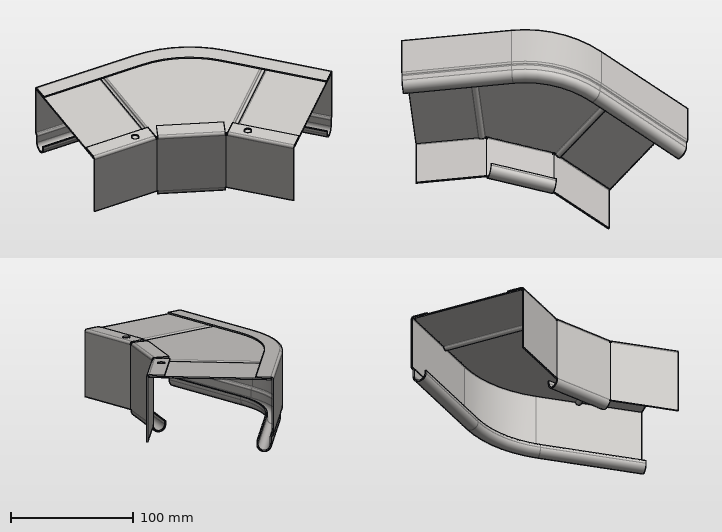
import cadquery as cq
import math


TOTAL_LENGTH = 225.0
HEIGHT = 63.0
ARM_WIDTH = 104.5
ELBOW_ANGLE = 45.0
ELBOW_RADIUS = 100.0

SHEET = 1.2
BEND_RADIUS = 2.3
BEND_MIDDLE_RADIUS = BEND_RADIUS - SHEET / 2
FLANGE_WIDTH = 14.9

BEAD_RADIUS = 6.0
BEAD_LIP = 2.7

STEP_DEPTH = 47.7
STEP_BEND_ANGLE = 60.0

CORNER_Y = 57.9
FLANGE_GAP = 0.7
HOLE_DIAMETER = 6.0
HOLE_INSET = 8.8
HOLE_FROM_CORNER = 15.8

GROOVE_CENTRE_Y = 54.5
GROOVE_BEND_ANGLE = 80.0
GROOVE_SHOULDER_RADIUS = 1.0
GROOVE_VALLEY_RADIUS = 2.0

HALF_ANGLE = math.radians(ELBOW_ANGLE / 2)
ARM_LENGTH = (TOTAL_LENGTH - ELBOW_RADIUS * math.sin(2 * HALF_ANGLE)) / (1 + math.cos(2 * HALF_ANGLE))
ELBOW_CENTRE = (ELBOW_RADIUS, ARM_LENGTH)
AXIS_NORMAL = (math.sin(HALF_ANGLE), math.cos(HALF_ANGLE))
PLATE_TOP = HEIGHT - SHEET


def across_axis(point):
    """The mirror image of a plan point across the axis of symmetry."""
    x, y = point
    distance = (x - ELBOW_CENTRE[0]) * AXIS_NORMAL[0] + (y - ELBOW_CENTRE[1]) * AXIS_NORMAL[1]
    return (x - 2 * distance * AXIS_NORMAL[0], y - 2 * distance * AXIS_NORMAL[1])


def mirrored(body):
    """The mirror image of a body across the axis of symmetry."""
    return body.mirror(cq.Vector(*AXIS_NORMAL, 0), cq.Vector(*ELBOW_CENTRE, 0))


def inner_edge(inset):
    """Plan points along the inner side of the elbow, moved into the part by an inset."""
    end = (ARM_WIDTH - inset, 0)
    corner = (ARM_WIDTH - inset, CORNER_Y + inset * math.tan(HALF_ANGLE / 2))
    return [end, corner, across_axis(corner), across_axis(end)]


def folded_sheet(plane, start, heading, folds):
    """Closed section of a folded sheet, drawn on a plane.

    The sheet's middle line begins at start. Each fold is (size, turn): a straight of that length
    when turn is 0, otherwise an arc of that radius turning left (positive) or right, in degrees.
    """
    x, y = start
    angle = math.radians(heading)
    stations = [(x, y, angle)]
    is_arc = []
    for size, turn in folds:
        half_turn = math.radians(turn) / 2
        half_chord = 2 * size * math.sin(abs(half_turn) / 2) if turn else size / 2
        for _ in range(2):
            x += half_chord * math.cos(angle + half_turn / 2)
            y += half_chord * math.sin(angle + half_turn / 2)
            angle += half_turn
            stations.append((x, y, angle))
        is_arc.append(turn != 0)

    def side(offset):
        return [(px - offset * math.sin(a), py + offset * math.cos(a)) for px, py, a in stations]

    def trace(section, edge, arcs):
        for middle, end, arc in zip(edge[1::2], edge[2::2], arcs):
            section = section.threePointArc(middle, end) if arc else section.lineTo(*end)
        return section

    left = side(SHEET / 2)
    right_reversed = side(-SHEET / 2)[::-1]
    section = trace(cq.Workplane(plane).moveTo(*left[0]), left, is_arc)
    section = trace(section.lineTo(*right_reversed[0]), right_reversed, is_arc[::-1])
    return section.close()


def wall_section(plane, stepped, beaded):
    """Section of a wall: top flange, bend, upright, then an optional step and bead.

    On the plane, x is the distance in from the wall's outer face and y is the height.
    """
    folds = [(FLANGE_WIDTH - BEND_RADIUS, 0), (BEND_MIDDLE_RADIUS, 90)]
    foot = HEIGHT - BEND_RADIUS
    if stepped:
        folds += [(STEP_DEPTH - BEND_RADIUS, 0)]
        folds += [(BEND_MIDDLE_RADIUS, STEP_BEND_ANGLE), (BEND_MIDDLE_RADIUS, -STEP_BEND_ANGLE)]
        foot = HEIGHT - STEP_DEPTH - 2 * BEND_MIDDLE_RADIUS * math.sin(math.radians(STEP_BEND_ANGLE))
    folds += [(foot - BEAD_RADIUS, 0)]
    if beaded:
        folds += [(BEAD_RADIUS - SHEET / 2, 180), (BEAD_LIP, 0)]
    return folded_sheet(plane, (FLANGE_WIDTH, HEIGHT - SHEET / 2), 180, folds)


def make_rail():
    """Outer rail: the same section along both arms and round the elbow."""
    near_end = cq.Plane(origin=(0, 0, 0), xDir=(1, 0, 0), normal=(0, -1, 0))
    elbow_start = cq.Plane(origin=(0, ARM_LENGTH, 0), xDir=(1, 0, 0), normal=(0, -1, 0))
    arm = wall_section(near_end, stepped=True, beaded=True).extrude(-ARM_LENGTH)
    elbow = wall_section(elbow_start, stepped=True, beaded=True).revolve(
        ELBOW_ANGLE, (ELBOW_RADIUS, 2.3), (ELBOW_RADIUS, 0)
    )
    return arm.union(elbow).union(mirrored(arm))


def make_plate():
    """Top plate lying under the flanges, with a groove across each arm."""
    groove_angle = math.radians(GROOVE_BEND_ANGLE)
    groove_half_width = (GROOVE_SHOULDER_RADIUS + GROOVE_VALLEY_RADIUS) * math.sin(groove_angle)
    groove_start = GROOVE_CENTRE_Y - groove_half_width
    groove_end = GROOVE_CENTRE_Y + groove_half_width

    arm_side = cq.Plane(origin=(BEND_RADIUS, 0, 0), xDir=(0, 1, 0), normal=(1, 0, 0))
    folds = [
        (groove_start, 0),
        (GROOVE_SHOULDER_RADIUS, -GROOVE_BEND_ANGLE),
        (GROOVE_VALLEY_RADIUS, GROOVE_BEND_ANGLE),
        (GROOVE_VALLEY_RADIUS, GROOVE_BEND_ANGLE),
        (GROOVE_SHOULDER_RADIUS, -GROOVE_BEND_ANGLE),
    ]
    arm = folded_sheet(arm_side, (0, PLATE_TOP - SHEET / 2), 0, folds).extrude(ARM_WIDTH - 2 * BEND_RADIUS)

    near_outer = (BEND_RADIUS, groove_end)
    near_inner = (ARM_WIDTH - BEND_RADIUS, groove_end)
    elbow_start = (BEND_RADIUS, ARM_LENGTH)
    arc_radius = ELBOW_RADIUS - BEND_RADIUS
    elbow_middle = (
        ELBOW_CENTRE[0] - arc_radius * math.cos(HALF_ANGLE),
        ELBOW_CENTRE[1] + arc_radius * math.sin(HALF_ANGLE),
    )
    _, near_corner, far_corner, _ = inner_edge(BEND_RADIUS)
    middle = (
        cq.Workplane("XY", origin=(0, 0, PLATE_TOP - SHEET))
        .moveTo(*near_outer)
        .lineTo(*elbow_start)
        .threePointArc(elbow_middle, across_axis(elbow_start))
        .lineTo(*across_axis(near_outer))
        .lineTo(*across_axis(near_inner))
        .lineTo(*far_corner)
        .lineTo(*near_corner)
        .lineTo(*near_inner)
        .close()
        .extrude(SHEET)
    )
    return arm.union(middle).union(mirrored(arm))


def make_inner_wall():
    """Inner wall: three panels joined at two corners, each with its own top flange."""
    upright = (
        cq.Workplane("XY", origin=(0, 0, BEAD_RADIUS))
        .polyline(inner_edge(0) + inner_edge(SHEET)[::-1])
        .close()
        .extrude(HEIGHT - BEND_RADIUS - BEAD_RADIUS)
    )

    near_end = cq.Plane(origin=(ARM_WIDTH, 0, 0), xDir=(-1, 0, 0), normal=(0, 1, 0))
    near_panel = wall_section(near_end, stepped=False, beaded=False).extrude(CORNER_Y - FLANGE_GAP)
    hole = (
        cq.Workplane("XY", origin=(ARM_WIDTH - HOLE_INSET, CORNER_Y - HOLE_FROM_CORNER, PLATE_TOP))
        .circle(HOLE_DIAMETER / 2)
        .extrude(SHEET)
    )
    near_panel = near_panel.cut(hole)

    _, near_corner, far_corner, _ = inner_edge(0)
    panel_length = math.dist(near_corner, far_corner) - 2 * FLANGE_GAP
    panel_end = cq.Plane(
        origin=(
            near_corner[0] + FLANGE_GAP * AXIS_NORMAL[0],
            near_corner[1] + FLANGE_GAP * AXIS_NORMAL[1],
            0,
        ),
        xDir=(-AXIS_NORMAL[1], AXIS_NORMAL[0], 0),
        normal=(*AXIS_NORMAL, 0),
    )
    middle_panel = wall_section(panel_end, stepped=False, beaded=True).extrude(panel_length)

    return upright.union(near_panel).union(mirrored(near_panel)).union(middle_panel)


rail = make_rail()
plate = make_plate()
inner_wall = make_inner_wall()

result = cq.Compound.makeCompound([rail.val(), plate.val(), inner_wall.val()])